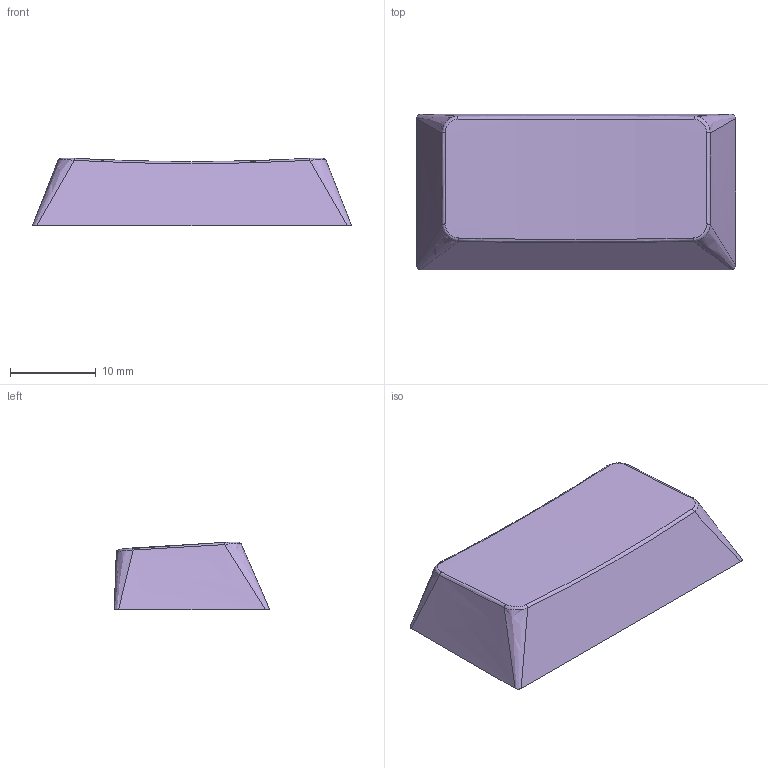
import cadquery as cq
import math

base_width = 37.15
base_depth = 18.1
base_corner_radius = 0.5

top_width = 31.0
front_setback = 3.45
back_setback = 0.25
front_height = 8.0
top_tilt = 3.5
top_corner_radius = 2.0

dish_depth = 0.5
rim_radius = 0.4

front_y = -base_depth / 2 + front_setback
back_y = base_depth / 2 - back_setback
top_centre_y = (front_y + back_y) / 2
tilt = math.radians(top_tilt)
top_depth = (back_y - front_y) / math.cos(tilt)
top_centre_z = front_height - (top_centre_y - front_y) * math.tan(tilt)


def rounded_rectangle(width, depth, corner_radius):
    return cq.Sketch().rect(width, depth).vertices().fillet(corner_radius)


def make_body():
    """Tapered body lofted from the flat base to the sloping top."""
    base = rounded_rectangle(base_width, base_depth, base_corner_radius)
    top = rounded_rectangle(top_width, top_depth, top_corner_radius)
    top_location = cq.Location(
        cq.Vector(0, top_centre_y, top_centre_z), cq.Vector(1, 0, 0), -top_tilt
    )
    return cq.Workplane("XY").placeSketch(base, top.moved(top_location)).loft()


def make_dish_cutter():
    """Cylinder along the slope that meets the top plane at its two side edges."""
    half_width = top_width / 2
    dish_radius = (half_width**2 + dish_depth**2) / (2 * dish_depth)
    cutter_length = 2 * base_depth
    slope_direction = cq.Vector(0, math.cos(tilt), -math.sin(tilt))
    top_normal = cq.Vector(0, math.sin(tilt), math.cos(tilt))
    top_centre = cq.Vector(0, top_centre_y, top_centre_z)
    axis_middle = top_centre + top_normal * (dish_radius - dish_depth)
    axis_start = axis_middle - slope_direction * (cutter_length / 2)
    return cq.Solid.makeCylinder(dish_radius, cutter_length, axis_start, slope_direction)


def make_keycap():
    """Dished body with its top rim rounded; the dish is its highest-centred face."""
    dished_body = make_body().cut(cq.Workplane(make_dish_cutter()))
    return dished_body.faces(">Z").edges().fillet(rim_radius)


result = make_keycap()